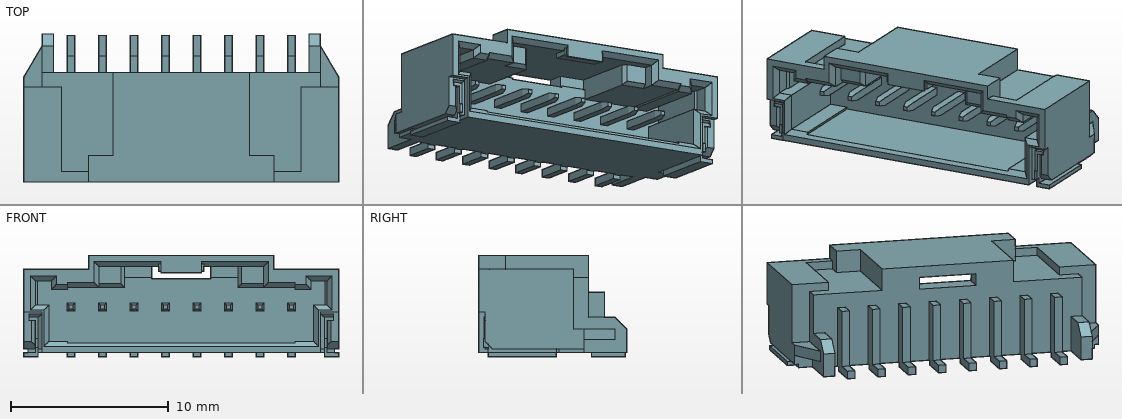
import cadquery as cq

WIDTH = 20.0
HALF_WIDTH = WIDTH / 2
BACK_HALF_WIDTH = 8.85
BODY_DEPTH = 6.98
FLOOR_Z = 0.25
SIDE_FLOOR_Z = 0.5
TOP_Z = 6.45
SHOULDER_Z = 5.55
ROOF_Z = 5.05
SIDE_WALL_DEPTH = 6.05
SIDE_FOOT_DEPTH = 6.68
SIDE_FOOT_Z = 1.75
CHAMFER = 0.32

RAISED_HALF_WIDTH = 4.32
FLANGE_HALF_WIDTH = 5.88
FLANGE_DEPTH = 1.7
SHOULDER_INNER_X = 7.6
SHOULDER_FRONT_DEPTH = 0.68

CAVITY_DEPTH = 5.6
CAVITY_HALF_WIDTH = 8.4
CAVITY_FLOOR_Z = 0.98
CAVITY_ROOF_Z = 4.28
RELIEF_HALF_WIDTH = 7.22
RELIEF_STEP = 0.12
KEYWAY_INNER_X = 8.25
KEYWAY_OUTER_X = 9.25
KEYWAY_STRAIGHT_Y = 1.28
KEYWAY_NARROWING = 0.12
KEYWAY_BOTTOM_Z = 3.28
KEYWAY_TOP_Z = 4.82

CHANNEL_HALF_WIDTH = 5.22
CHANNEL_TOP_Z = 5.72
CHANNEL_DEEP_HALF_WIDTH = 3.6
STOP_DEPTH = 1.05
STOP_CHAMFER = 0.25
CHANNEL_EXTRA_DEPTH = 0.2
WINDOW_HALF_WIDTH = 1.85
WINDOW_BOTTOM_Z = 4.95
RIB_HALF_WIDTH = 1.45
RIB_NOSE_HALF_WIDTH = 1.3
RIB_BOTTOM_Z = 5.42
RIB_NOSE_BOTTOM_Z = 5.32
RIB_NOSE_LENGTH = 0.15
RIB_LENGTH = 1.12

EAR_THICKNESS = 0.75
EAR_END_Y = 9.42
EAR_TOP_Z = 2.52
EAR_CHAMFER = 0.75
GUSSET_BOTTOM_Z = 1.08

PIN_COUNT = 8
PIN_PITCH = 2.0
PIN_SIZE = 0.5
PIN_Z = 3.15
PIN_TIP_Y = 1.8
PIN_TIP_SIZE = 0.25
PIN_TAPER_LENGTH = 0.5
LEG_END_Y = 8.0
LEG_TOP_Z = 4.1
FOOT_START_Y = 7.15
FOOT_END_Y = 9.32

NOTCH_TOP_Z = 2.85
NOTCH_DEPTH = 0.42
SIDE_CHAMFER = 0.45
SLOT_OUTER_X = 9.3
SLOT_MOUTH_OUTER_X = 9.52
SLOT_LEAD_IN = 0.2
SLOT_HOOK_X = 9.68
SLOT_TOP_Z = 2.52
CLIP_INNER_X = 9.08
CLIP_THICKNESS = 0.18
HOOK_THICKNESS = 0.22
CLIP_BACK_Y = 4.95
CLIP_FRONT_Y = 0.35
CLIP_BUMP_Y = 0.3
CLIP_BUMP_TOP_Z = 1.15
CLIP_BUMP_BOTTOM_Z = 0.6
CLIP_FOOT_FRONT_Y = 0.6
LUG_OUTER_X = 9.75
LUG_FRONT_Y = 5.12


def block(x0, x1, y0, y1, z0, z1):
    """Axis-aligned box between two opposite corners."""
    return cq.Workplane("XY").box(x1 - x0, y1 - y0, z1 - z0, centered=False).translate((x0, y0, z0))


def centred_block(half_width, y0, y1, z0, z1):
    """Box symmetric about X = 0."""
    return block(-half_width, half_width, y0, y1, z0, z1)


def frustum(y0, front, y1, back):
    """Solid between two XZ rectangles, each given as (x0, x1, z0, z1)."""

    def corners(y, rectangle):
        x0, x1, z0, z1 = rectangle
        return [cq.Vector(x, y, z) for x, z in ((x0, z0), (x1, z0), (x1, z1), (x0, z1))]

    wires = [cq.Wire.makePolygon(corners(y, r), close=True) for y, r in ((y0, front), (y1, back))]
    return cq.Workplane(obj=cq.Solid.makeLoft(wires, True))


def both_sides(solid):
    """The solid together with its mirror image across X = 0."""
    return solid.union(solid.mirror("YZ"))


def make_shell():
    shell = centred_block(BACK_HALF_WIDTH, 0, BODY_DEPTH, FLOOR_Z, ROOF_Z)
    shell = shell.union(centred_block(RAISED_HALF_WIDTH, 0, BODY_DEPTH, FLOOR_Z, TOP_Z))
    shell = shell.union(centred_block(FLANGE_HALF_WIDTH, 0, FLANGE_DEPTH, FLOOR_Z, TOP_Z))
    shell = shell.union(centred_block(HALF_WIDTH, 0, SHOULDER_FRONT_DEPTH, SIDE_FLOOR_Z, SHOULDER_Z))
    side = block(SHOULDER_INNER_X, HALF_WIDTH, 0, SIDE_WALL_DEPTH, SIDE_FLOOR_Z, SHOULDER_Z)
    side = side.union(
        block(BACK_HALF_WIDTH, HALF_WIDTH, 0, SIDE_FOOT_DEPTH, SIDE_FLOOR_Z, SIDE_FOOT_Z)
    )
    side = side.union(
        block(BACK_HALF_WIDTH, LUG_OUTER_X, LUG_FRONT_Y, SIDE_FOOT_DEPTH, FLOOR_Z, SIDE_FOOT_Z)
    )
    return shell.union(both_sides(side))


def make_ear():
    inner_x = BACK_HALF_WIDTH - EAR_THICKNESS
    ear = block(inner_x, BACK_HALF_WIDTH, SIDE_WALL_DEPTH, EAR_END_Y, FLOOR_Z, EAR_TOP_Z)
    ear = ear.edges(">Y and >Z").chamfer(EAR_CHAMFER)
    gusset = (
        cq.Workplane("XY")
        .workplane(offset=GUSSET_BOTTOM_Z)
        .moveTo(BACK_HALF_WIDTH, SIDE_FOOT_DEPTH)
        .lineTo(HALF_WIDTH, SIDE_FOOT_DEPTH)
        .lineTo(BACK_HALF_WIDTH, EAR_END_Y - EAR_CHAMFER)
        .close()
        .extrude(SIDE_FOOT_Z - GUSSET_BOTTOM_Z)
    )
    return ear.union(gusset)


def make_cavity():
    """Plug space: main bore, central relief and side keyways, all with a chamfered mouth."""
    relief_floor = CAVITY_FLOOR_Z - RELIEF_STEP
    relief_roof = CAVITY_ROOF_Z + RELIEF_STEP
    mouth_floor = CAVITY_FLOOR_Z - CHAMFER
    mouth_half = CAVITY_HALF_WIDTH + CHAMFER
    main = centred_block(CAVITY_HALF_WIDTH, 0, CAVITY_DEPTH, CAVITY_FLOOR_Z, CAVITY_ROOF_Z)
    main = main.union(frustum(
        0, (-mouth_half, mouth_half, mouth_floor, CAVITY_ROOF_Z + CHAMFER),
        CHAMFER, (-CAVITY_HALF_WIDTH, CAVITY_HALF_WIDTH, CAVITY_FLOOR_Z, CAVITY_ROOF_Z),
    ))
    relief_sides = (-RELIEF_HALF_WIDTH, RELIEF_HALF_WIDTH)
    relief = centred_block(RELIEF_HALF_WIDTH, 0, CAVITY_DEPTH, relief_floor, relief_roof)
    relief = relief.union(frustum(
        0, (*relief_sides, relief_floor, relief_roof + CHAMFER),
        CHAMFER, (*relief_sides, relief_floor, relief_roof),
    ))
    keyway_heights = (KEYWAY_BOTTOM_Z, KEYWAY_TOP_Z)
    keyway = frustum(
        0, (KEYWAY_INNER_X - CHAMFER, KEYWAY_OUTER_X + CHAMFER,
            KEYWAY_BOTTOM_Z - CHAMFER, KEYWAY_TOP_Z + CHAMFER),
        CHAMFER, (KEYWAY_INNER_X, KEYWAY_OUTER_X, *keyway_heights),
    )
    keyway = keyway.union(
        block(KEYWAY_INNER_X, KEYWAY_OUTER_X, CHAMFER, KEYWAY_STRAIGHT_Y, *keyway_heights)
    )
    keyway_end_x = KEYWAY_OUTER_X - KEYWAY_NARROWING
    narrow_start_y = KEYWAY_STRAIGHT_Y + KEYWAY_NARROWING
    keyway = keyway.union(frustum(
        KEYWAY_STRAIGHT_Y, (KEYWAY_INNER_X, KEYWAY_OUTER_X, *keyway_heights),
        narrow_start_y, (KEYWAY_INNER_X, keyway_end_x, *keyway_heights),
    ))
    keyway = keyway.union(
        block(KEYWAY_INNER_X, keyway_end_x, narrow_start_y, CAVITY_DEPTH, *keyway_heights)
    )
    return main.union(relief).union(both_sides(keyway))


def make_channel():
    """Latch space under the raised roof, narrowed by a stop on each side, with a rear window."""
    relief_roof = CAVITY_ROOF_Z + RELIEF_STEP
    mouth_half = CHANNEL_HALF_WIDTH + CHAMFER
    deep_mouth_half = CHANNEL_DEEP_HALF_WIDTH + STOP_CHAMFER
    stop_chamfer_end = STOP_DEPTH + STOP_CHAMFER
    sides = (-CHANNEL_HALF_WIDTH, CHANNEL_HALF_WIDTH)
    channel = centred_block(CHANNEL_HALF_WIDTH, 0, STOP_DEPTH, PIN_Z, CHANNEL_TOP_Z)
    channel = channel.union(frustum(
        0, (-mouth_half, mouth_half, PIN_Z, CHANNEL_TOP_Z + CHAMFER),
        CHAMFER, (*sides, PIN_Z, CHANNEL_TOP_Z),
    ))
    channel = channel.union(
        centred_block(CHANNEL_DEEP_HALF_WIDTH, 0, CAVITY_DEPTH, PIN_Z, CHANNEL_TOP_Z)
    )
    channel = channel.union(frustum(
        STOP_DEPTH, (-deep_mouth_half, deep_mouth_half, PIN_Z, CHANNEL_TOP_Z),
        stop_chamfer_end, (-CHANNEL_DEEP_HALF_WIDTH, CHANNEL_DEEP_HALF_WIDTH, PIN_Z, CHANNEL_TOP_Z),
    ))
    channel = channel.union(frustum(
        STOP_DEPTH, (*sides, PIN_Z, relief_roof + STOP_CHAMFER),
        stop_chamfer_end, (*sides, PIN_Z, relief_roof),
    ))
    channel = channel.union(centred_block(
        CHANNEL_DEEP_HALF_WIDTH, CAVITY_DEPTH, CAVITY_DEPTH + CHANNEL_EXTRA_DEPTH, ROOF_Z, CHANNEL_TOP_Z
    ))
    return channel.union(
        centred_block(WINDOW_HALF_WIDTH, CAVITY_DEPTH, BODY_DEPTH, WINDOW_BOTTOM_Z, CHANNEL_TOP_Z)
    )


def make_rib():
    """Key rib hanging from the channel roof at the mouth."""
    nose = centred_block(RIB_NOSE_HALF_WIDTH, 0, RIB_NOSE_LENGTH, RIB_NOSE_BOTTOM_Z, TOP_Z)
    return nose.union(centred_block(RIB_HALF_WIDTH, RIB_NOSE_LENGTH, RIB_LENGTH, RIB_BOTTOM_Z, TOP_Z))


def make_clip_pocket():
    """Corner notch, chamfered side-wall foot and the slot that holds the clip."""
    notch = block(BACK_HALF_WIDTH, HALF_WIDTH, 0, NOTCH_DEPTH, 0, NOTCH_TOP_Z)
    wall_chamfer = (
        cq.Workplane("YZ")
        .workplane(offset=CLIP_INNER_X)
        .moveTo(NOTCH_DEPTH, SIDE_FLOOR_Z)
        .lineTo(NOTCH_DEPTH + SIDE_CHAMFER, SIDE_FLOOR_Z)
        .lineTo(NOTCH_DEPTH, SIDE_FLOOR_Z + SIDE_CHAMFER)
        .close()
        .extrude(HALF_WIDTH - CLIP_INNER_X)
    )
    slot = block(CLIP_INNER_X, SLOT_OUTER_X, NOTCH_DEPTH, CLIP_BACK_Y, 0, SLOT_TOP_Z)
    lead_in_end = NOTCH_DEPTH + SLOT_LEAD_IN
    mouth_top_z = SLOT_TOP_Z + SLOT_LEAD_IN
    hook_z = SLOT_TOP_Z - HOOK_THICKNESS
    upright_lead_in = frustum(
        NOTCH_DEPTH, (BACK_HALF_WIDTH, SLOT_MOUTH_OUTER_X, 0, mouth_top_z),
        lead_in_end, (CLIP_INNER_X, SLOT_OUTER_X, 0, SLOT_TOP_Z),
    )
    hook_lead_in = frustum(
        NOTCH_DEPTH, (BACK_HALF_WIDTH, SLOT_HOOK_X, hook_z, mouth_top_z),
        lead_in_end, (CLIP_INNER_X, SLOT_HOOK_X, hook_z, SLOT_TOP_Z),
    )
    return notch.union(wall_chamfer).union(slot).union(upright_lead_in).union(hook_lead_in)


def make_clip():
    """Sheet-metal clip: upright plate with an outward hook on top and a foot below."""
    outer_x = CLIP_INNER_X + CLIP_THICKNESS
    hook_z = SLOT_TOP_Z - HOOK_THICKNESS
    clip = block(CLIP_INNER_X, outer_x, CLIP_FRONT_Y, CLIP_BACK_Y, CLIP_BUMP_TOP_Z, SLOT_TOP_Z)
    clip = clip.union(
        block(CLIP_INNER_X, outer_x, CLIP_BUMP_Y, CLIP_BACK_Y, CLIP_BUMP_BOTTOM_Z, CLIP_BUMP_TOP_Z)
    )
    clip = clip.union(
        block(CLIP_INNER_X, outer_x, CLIP_FOOT_FRONT_Y, CLIP_BACK_Y, 0, CLIP_BUMP_BOTTOM_Z)
    )
    clip = clip.union(block(
        CLIP_INNER_X, SLOT_HOOK_X, CLIP_FRONT_Y, CLIP_BACK_Y, hook_z, SLOT_TOP_Z
    ))
    return clip.union(block(CLIP_INNER_X, HALF_WIDTH, CLIP_FOOT_FRONT_Y, CLIP_BACK_Y, 0, FLOOR_Z))


def make_pin(x):
    """Contact: tapered tip in the cavity, upright leg behind the body and a solder foot."""
    def square(size):
        return (x - size / 2, x + size / 2, PIN_Z - size / 2, PIN_Z + size / 2)

    x0 = x - PIN_SIZE / 2
    x1 = x + PIN_SIZE / 2
    taper_end = PIN_TIP_Y + PIN_TAPER_LENGTH
    pin = frustum(PIN_TIP_Y, square(PIN_TIP_SIZE), taper_end, square(PIN_SIZE))
    pin = pin.union(frustum(taper_end, square(PIN_SIZE), BODY_DEPTH, square(PIN_SIZE)))
    pin = pin.union(block(x0, x1, BODY_DEPTH, LEG_END_Y, FLOOR_Z, LEG_TOP_Z))
    return pin.union(block(x0, x1, FOOT_START_Y, FOOT_END_Y, 0, PIN_SIZE))


result = make_shell().union(both_sides(make_ear()))
result = result.cut(make_cavity()).cut(make_channel()).union(make_rib())
result = result.cut(both_sides(make_clip_pocket())).union(both_sides(make_clip()))
for index in range(PIN_COUNT):
    result = result.union(make_pin((index - (PIN_COUNT - 1) / 2) * PIN_PITCH))